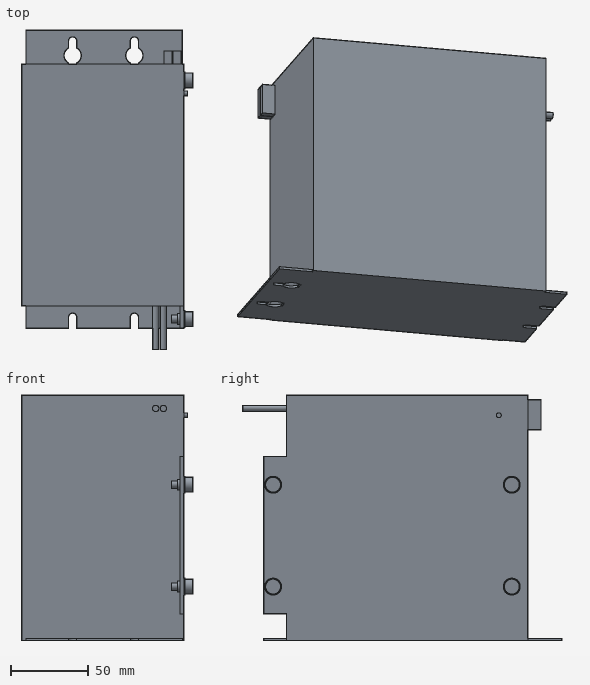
import cadquery as cq

TOTAL_DEPTH = 206.89

BOX_WIDTH = 105.0
BOX_DEPTH = 156.5
BOX_HEIGHT = 159.0

PLATE_THICKNESS = 1.5
PLATE_LEFT = 2.7
PLATE_WIDTH = 101.3
PLATE_FRONT_OVERHANG = 14.7
PLATE_BACK_OVERHANG = 22.0
MOUNT_X = (33.0, 73.0)
SLOT_WIDTH = 5.2
FRONT_SLOT_DEPTH = 9.9
KEYHOLE_DIAMETER = 11.0
KEYHOLE_Y = BOX_DEPTH + 5.6
KEYHOLE_NECK = 9.4

FLANGE_THICKNESS = 2.5
FLANGE_BOTTOM = 17.3
FLANGE_HEIGHT = 102.0

SCREW_Z = (35.0, 101.0)
FRONT_SCREW_Y = -8.6
BACK_SCREW_Y = 146.0
HEAD_REACH = 5.83
HEAD_DIAMETER = 9.7
WASHER_DIAMETER = 10.9
WASHER_THICKNESS = 0.9
COLLAR_DIAMETER = 7.0
COLLAR_LENGTH = 1.7
SHANK_DIAMETER = 5.0
SHANK_REACH = 5.5

PIN_Y = 137.6
PIN_Z = 146.0
PIN_DIAMETER = 3.2
PIN_REACH = 2.4

CABLE_X = (86.8, 91.8)
CABLE_Z = 150.4
CABLE_DIAMETER = 4.1
CABLE_REACH = TOTAL_DEPTH - BOX_DEPTH - PLATE_BACK_OVERHANG

TERMINAL_LEFT = (92.2, 98.0)
TERMINAL_WIDTH = 5.3
TERMINAL_BOTTOM = 136.6
TERMINAL_HEIGHT = 19.6
TERMINAL_REACH = 8.5


def block(x, y, z, width, depth, height):
    """Box with its lowest corner at (x, y, z)."""
    return cq.Workplane("XY").box(width, depth, height, centered=False).translate((x, y, z))


def rod_x(x, y, z, diameter, length):
    """Cylinder running from x toward +X."""
    return cq.Workplane("YZ", origin=(x, y, z)).circle(diameter / 2).extrude(length)


def upright_cutter(x, y, diameter):
    """Round cutter through the mounting plate."""
    return cq.Workplane("XY").center(x, y).circle(diameter / 2).extrude(PLATE_THICKNESS)


def slot_cutter(x, y_start, y_end):
    """Straight cutter of slot width between two Y positions."""
    return block(x - SLOT_WIDTH / 2, y_start, 0, SLOT_WIDTH, y_end - y_start, PLATE_THICKNESS)


def mounting_plate():
    """Plate with open slots at the front and keyholes at the back."""
    front = -PLATE_FRONT_OVERHANG
    depth = PLATE_FRONT_OVERHANG + BOX_DEPTH + PLATE_BACK_OVERHANG
    plate = block(PLATE_LEFT, front, 0, PLATE_WIDTH, depth, PLATE_THICKNESS)
    slot_end = front + FRONT_SLOT_DEPTH - SLOT_WIDTH / 2
    neck_end = KEYHOLE_Y + KEYHOLE_NECK
    for x in MOUNT_X:
        plate = plate.cut(slot_cutter(x, front, slot_end))
        plate = plate.cut(upright_cutter(x, slot_end, SLOT_WIDTH))
        plate = plate.cut(upright_cutter(x, KEYHOLE_Y, KEYHOLE_DIAMETER))
        plate = plate.cut(slot_cutter(x, BOX_DEPTH, neck_end))
        plate = plate.cut(upright_cutter(x, neck_end, SLOT_WIDTH))
    return plate


def flange():
    """Upright strip in front of the enclosure."""
    left = BOX_WIDTH - FLANGE_THICKNESS
    return block(left, -PLATE_FRONT_OVERHANG, FLANGE_BOTTOM,
                 FLANGE_THICKNESS, PLATE_FRONT_OVERHANG, FLANGE_HEIGHT)


def screw_head(y, z):
    """Washer and cylindrical head on the right side."""
    washer = rod_x(BOX_WIDTH, y, z, WASHER_DIAMETER, WASHER_THICKNESS)
    return washer.union(rod_x(BOX_WIDTH, y, z, HEAD_DIAMETER, HEAD_REACH))


def screw_tail(y, z):
    """Collar and shank end on the inner face of the flange."""
    inner = BOX_WIDTH - FLANGE_THICKNESS
    collar = rod_x(inner - COLLAR_LENGTH, y, z, COLLAR_DIAMETER, COLLAR_LENGTH)
    return collar.union(rod_x(inner - SHANK_REACH, y, z, SHANK_DIAMETER, SHANK_REACH))


def cable(x):
    """Straight cable stub running from the front face toward -Y."""
    start = cq.Workplane("XZ", origin=(x, 0, CABLE_Z))
    return start.circle(CABLE_DIAMETER / 2).extrude(CABLE_REACH)


def terminal(left):
    """One terminal block on the back face."""
    return block(left, BOX_DEPTH, TERMINAL_BOTTOM, TERMINAL_WIDTH, TERMINAL_REACH, TERMINAL_HEIGHT)


result = block(0, 0, 0, BOX_WIDTH, BOX_DEPTH, BOX_HEIGHT)
result = result.union(mounting_plate()).union(flange())
for screw_z in SCREW_Z:
    result = result.union(screw_head(FRONT_SCREW_Y, screw_z))
    result = result.union(screw_tail(FRONT_SCREW_Y, screw_z))
    result = result.union(screw_head(BACK_SCREW_Y, screw_z))
result = result.union(rod_x(BOX_WIDTH, PIN_Y, PIN_Z, PIN_DIAMETER, PIN_REACH))
for cable_x in CABLE_X:
    result = result.union(cable(cable_x))
for terminal_left in TERMINAL_LEFT:
    result = result.union(terminal(terminal_left))